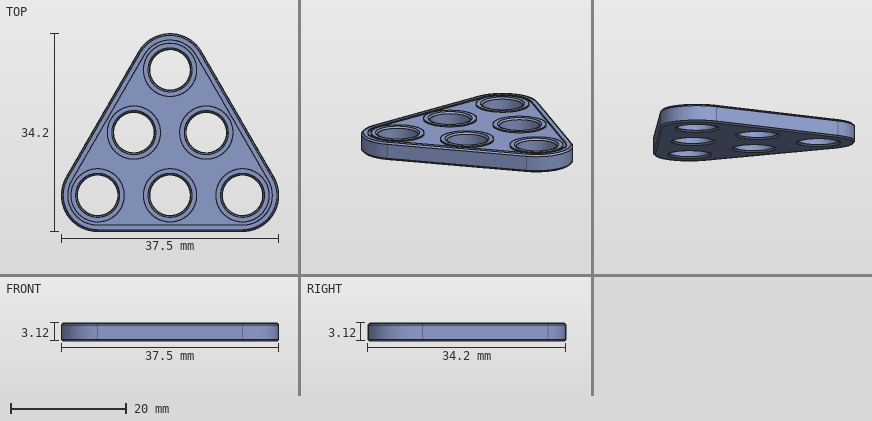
import cadquery as cq
import math

HOLE_PITCH = 12.5
HOLES_PER_SIDE = 3
HOLE_DIAMETER = 7.0
COLLAR_DIAMETER = 9.2
THICKNESS = 3.12
RIM_WIDTH = 1.1
RECESS_DEPTH = 0.2
CHAMFER = 0.3

CORNER_RADIUS = HOLE_PITCH / 2
ROW_SPACING = HOLE_PITCH * math.sqrt(3) / 2
FIRST_ROW_Y = -ROW_SPACING * (HOLES_PER_SIDE - 1) / 3
RECESS_FLOOR = THICKNESS - RECESS_DEPTH


def hole_centres():
    """Triangular array of hole centres, one hole fewer in each row upwards."""
    centres = []
    for row in range(HOLES_PER_SIDE):
        count = HOLES_PER_SIDE - row
        for column in range(count):
            x = (column - (count - 1) / 2) * HOLE_PITCH
            centres.append((x, FIRST_ROW_Y + row * ROW_SPACING))
    return centres


def rounded_triangle(corner_radius, base, height):
    """Prism whose corner arcs are centred on the three corner holes."""
    half_side = HOLE_PITCH * (HOLES_PER_SIDE - 1) / 2
    apex_y = FIRST_ROW_Y + ROW_SPACING * (HOLES_PER_SIDE - 1)
    corners = [(-half_side, FIRST_ROW_Y), (half_side, FIRST_ROW_Y), (0, apex_y)]
    return (
        cq.Workplane("XY")
        .workplane(offset=base)
        .polyline(corners)
        .close()
        .offset2D(corner_radius)
        .extrude(height)
    )


def plate():
    """Full-height body with its top and bottom outer edges chamfered."""
    body = rounded_triangle(CORNER_RADIUS, 0, THICKNESS)
    return body.faces("<Z or >Z").edges().chamfer(CHAMFER)


def recess():
    """Shallow pocket inside the rim that leaves a collar standing around each hole."""
    pocket = rounded_triangle(CORNER_RADIUS - RIM_WIDTH, RECESS_FLOOR, RECESS_DEPTH)
    collars = (
        cq.Workplane("XY")
        .workplane(offset=RECESS_FLOOR)
        .pushPoints(hole_centres())
        .circle(COLLAR_DIAMETER / 2)
        .extrude(RECESS_DEPTH)
    )
    return pocket.cut(collars)


def hole_cutter():
    """Through hole with a chamfered mouth at both ends, revolved about the Z axis."""
    radius = HOLE_DIAMETER / 2
    mouth_radius = radius + CHAMFER
    profile = [
        (0, 0),
        (mouth_radius, 0),
        (radius, CHAMFER),
        (radius, THICKNESS - CHAMFER),
        (mouth_radius, THICKNESS),
        (0, THICKNESS),
    ]
    return cq.Workplane("XZ").polyline(profile).close().revolve(360, (0, 0), (0, 1))


result = plate().cut(recess())
for x, y in hole_centres():
    result = result.cut(hole_cutter().translate((x, y, 0)))